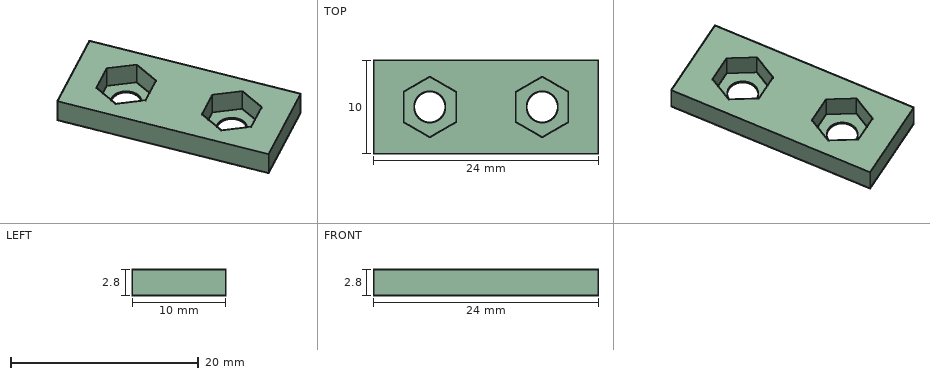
import cadquery as cq
import math

plate_length = 24.0
plate_width = 10.0
plate_thickness = 2.8

hole_spacing = plate_length / 2
hole_diameter = 3.3
nut_sides = 6
nut_across_flats = 5.6
nut_across_corners = nut_across_flats / math.cos(math.pi / nut_sides)
pocket_floor_thickness = 0.2
pocket_depth = plate_thickness - pocket_floor_thickness


def make_plate():
    """Flat rectangular plate centred in X and Y, resting on Z = 0."""
    return cq.Workplane("XY").box(
        plate_length, plate_width, plate_thickness, centered=(True, True, False)
    )


def make_nut_seat(x):
    """Cutter for one through hole and its nut pocket, with two hexagon corners along Y."""
    hole = cq.Workplane("XY").center(x, 0).circle(hole_diameter / 2).extrude(plate_thickness)
    pocket = (
        cq.Workplane("XY", origin=(x, 0, pocket_floor_thickness))
        .transformed(rotate=(0, 0, 90))
        .polygon(nut_sides, nut_across_corners)
        .extrude(pocket_depth)
    )
    return hole.union(pocket)


result = make_plate()
for side in (-1, 1):
    result = result.cut(make_nut_seat(side * hole_spacing / 2))